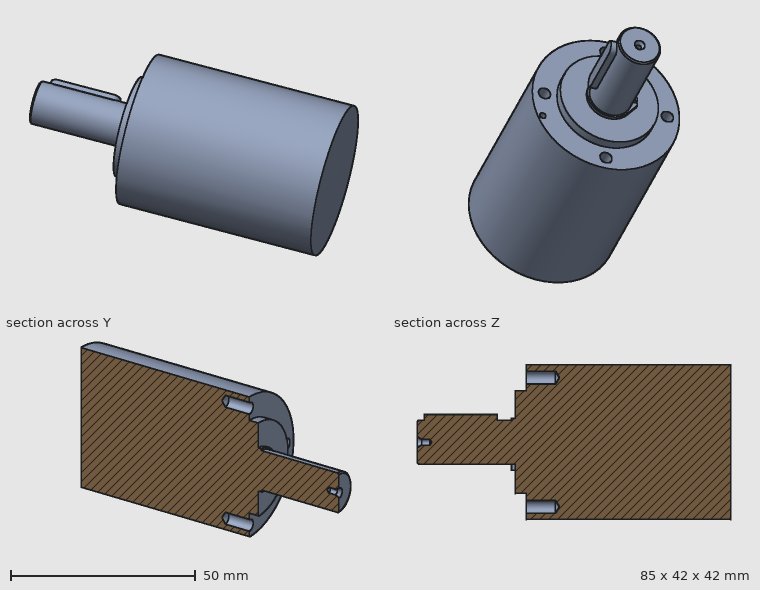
import cadquery as cq
import math

total_length = 85.0
ring_start = 25.5
ring_thickness = 1.0
pilot_start = ring_start + ring_thickness
pilot_thickness = 3.0
body_start = pilot_start + pilot_thickness

body_diameter = 42.0
pilot_diameter = 28.0
shaft_diameter = 12.0
shaft_chamfer = 0.4

key_start = 1.9
key_length = 19.9
key_width = 4.0
key_top = 7.6
key_bottom = 3.5

ring_radius = 6.55
ear_reach = 7.65
ear_half_width = 1.2
ring_gap = 0.8

screw_diameter = 3.4
screw_circle_diameter = 35.0
screw_depth = 8.0
screw_count = 4
pin_diameter = 1.7
pin_y = 18.0
pin_z = -7.5
pin_depth = 3.0
drill_point_angle = 118.0

centre_mouth_diameter = 2.9
centre_drill_diameter = 1.5
centre_cone_angle = 60.0
centre_depth = 3.4


def cylinder(diameter, start, end):
    """Cylinder on the X axis between two axial stations."""
    return cq.Workplane("YZ", origin=(start, 0, 0)).circle(diameter / 2).extrude(end - start)


def drilled_hole(start, y, z, diameter, depth):
    """Blind hole along +X ending in a drill-point cone."""
    radius = diameter / 2
    tip = radius / math.tan(math.radians(drill_point_angle / 2))
    profile = cq.Workplane("XY").moveTo(0, 0).lineTo(0, radius).lineTo(depth, radius)
    hole = profile.lineTo(depth + tip, 0).close().revolve(360, (0, 0), (1, 0))
    return hole.translate((start, y, z))


def retaining_ring():
    """Disc with an ear whose flanks are tangent to the disc, split at the ear."""
    corner_distance = math.hypot(ear_reach, ear_half_width)
    tangent_angle = math.atan2(ear_half_width, ear_reach) + math.acos(ring_radius / corner_distance)
    tangent_y = -ring_radius * math.cos(tangent_angle)
    tangent_z = ring_radius * math.sin(tangent_angle)
    ring = (
        cq.Workplane("YZ", origin=(ring_start, 0, 0))
        .moveTo(-ear_reach, -ear_half_width)
        .lineTo(tangent_y, -tangent_z)
        .threePointArc((ring_radius, 0), (tangent_y, tangent_z))
        .lineTo(-ear_reach, ear_half_width)
        .close()
        .extrude(ring_thickness)
    )
    gap = (
        cq.Workplane("YZ", origin=(ring_start, -ear_reach / 2, 0))
        .rect(ear_reach, ring_gap)
        .extrude(ring_thickness)
    )
    return ring.cut(gap)


def shaft_key():
    """Key with fully rounded ends, standing along +Y."""
    key = cq.Workplane("XZ", origin=(key_start + key_length / 2, key_bottom, 0))
    return key.slot2D(key_length, key_width).extrude(-(key_top - key_bottom))


def centre_drilling():
    """Countersunk pilot bore in the shaft tip."""
    mouth_radius = centre_mouth_diameter / 2
    drill_radius = centre_drill_diameter / 2
    cone_depth = (mouth_radius - drill_radius) / math.tan(math.radians(centre_cone_angle / 2))
    cone = cq.Workplane("XY").moveTo(0, 0).lineTo(0, mouth_radius).lineTo(cone_depth, drill_radius)
    cone = cone.lineTo(cone_depth, 0).close().revolve(360, (0, 0), (1, 0))
    return cone.union(drilled_hole(0, 0, 0, centre_drill_diameter, centre_depth))


body = cylinder(body_diameter, body_start, total_length)
body = body.union(cylinder(pilot_diameter, pilot_start, body_start))

shaft = cylinder(shaft_diameter, 0, pilot_start).faces("<X").chamfer(shaft_chamfer)
result = body.union(shaft).union(shaft_key()).union(retaining_ring())
result = result.cut(centre_drilling())

for index in range(screw_count):
    angle = 2 * math.pi * index / screw_count
    hole_y = screw_circle_diameter / 2 * math.cos(angle)
    hole_z = screw_circle_diameter / 2 * math.sin(angle)
    result = result.cut(drilled_hole(body_start, hole_y, hole_z, screw_diameter, screw_depth))
result = result.cut(drilled_hole(body_start, pin_y, pin_z, pin_diameter, pin_depth))

result = result.translate((-total_length / 2, 0, 0))